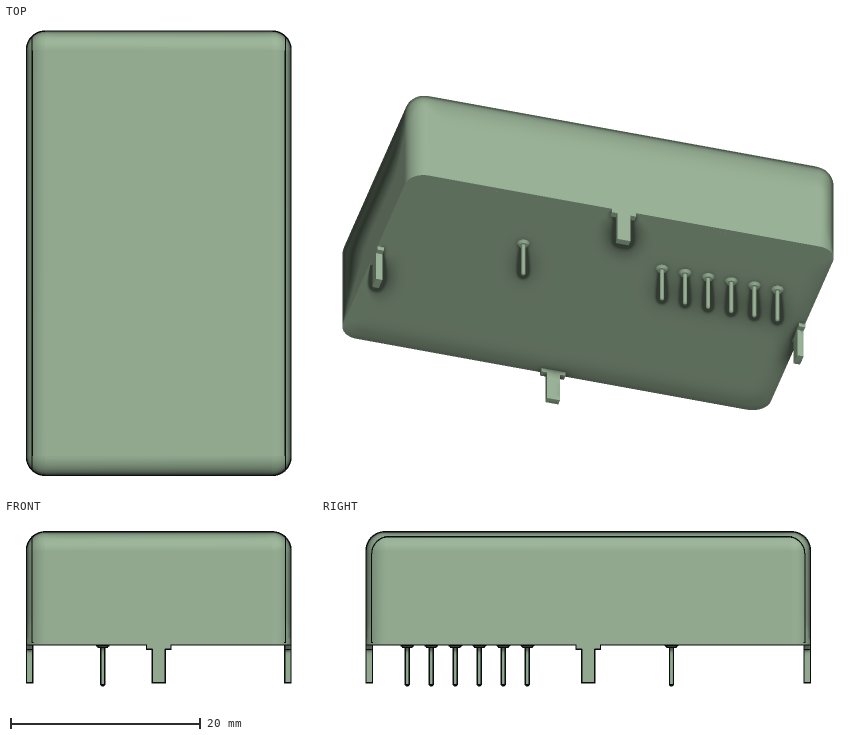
import cadquery as cq

case_length = 47.0
case_width = 28.0
case_height = 12.0
corner_radius = 2.0
wall = 0.6
tab_thickness = 0.7
top_thickness = 0.5

tab_width = 1.4
tab_drop = 4.0
shoulder_width = 2.65
shoulder_drop = 0.45

inner_length = case_length - 2 * wall
inner_width = case_width - 2 * wall
base_thickness = 0.3
base_corner_radius = corner_radius - wall
potting_height = case_height - top_thickness - base_thickness
potting_radius = 1.85

pin_diameter = 0.45
pin_drop = 4.32
pin_tip_chamfer = 0.15
pin_row_x = -5.9
first_pin_y = -19.15
pin_pitch = 2.55
pin_slots = [0, 1, 2, 3, 4, 5, 11]
bead_diameter = 1.35
bead_height = 0.3
bead_chamfer = 0.25


def make_base_plate():
    """Plate that closes the case, flush with its rim."""
    plate = cq.Workplane("XY").rect(inner_width, inner_length).extrude(base_thickness)
    return plate.edges("|Z").fillet(base_corner_radius)


def make_pin(y):
    """Pin with its chamfered bead, hanging from the base at Y = y."""
    pin = cq.Workplane("XY").circle(pin_diameter / 2).extrude(-pin_drop)
    pin = pin.faces("<Z").chamfer(pin_tip_chamfer)
    bead = cq.Workplane("XY").circle(bead_diameter / 2).extrude(-bead_height)
    bead = bead.faces("<Z").chamfer(bead_chamfer)
    return pin.union(bead).translate((pin_row_x, y, 0))


def make_base():
    """Base plate carrying the whole row of pins."""
    base = make_base_plate()
    for slot in pin_slots:
        base = base.union(make_pin(first_pin_y + slot * pin_pitch))
    return base


def make_potting():
    """Potting block above the base, rounded along the two short top edges."""
    block = cq.Workplane("XY", origin=(0, 0, base_thickness)).rect(inner_width, inner_length)
    return block.extrude(potting_height).edges("|X and >Z").fillet(potting_radius)


def make_tab():
    """Stepped tab under the +X wall, flush with its outer face."""
    shoulder = cq.Workplane("XY").rect(tab_thickness, shoulder_width).extrude(-shoulder_drop)
    leg = cq.Workplane("XY").rect(tab_thickness, tab_width).extrude(-tab_drop)
    return shoulder.union(leg)


def make_case():
    """Rounded cover with four tabs, hollowed to fit the potting block and the base plate."""
    case = cq.Workplane("XY").rect(case_width, case_length).extrude(case_height)
    case = case.edges("|Z or >Z").fillet(corner_radius)
    case = case.cut(make_potting()).cut(make_base_plate())
    tab_spans = ((0, case_width), (90, case_length), (180, case_width), (270, case_length))
    for angle, span in tab_spans:
        tab = make_tab().translate((span / 2 - tab_thickness / 2, 0, 0))
        case = case.union(tab.rotate((0, 0, 0), (0, 0, 1), angle))
    return case


case = make_case()
potting = make_potting()
base = make_base()

result = cq.Compound.makeCompound([case.val(), potting.val(), base.val()])